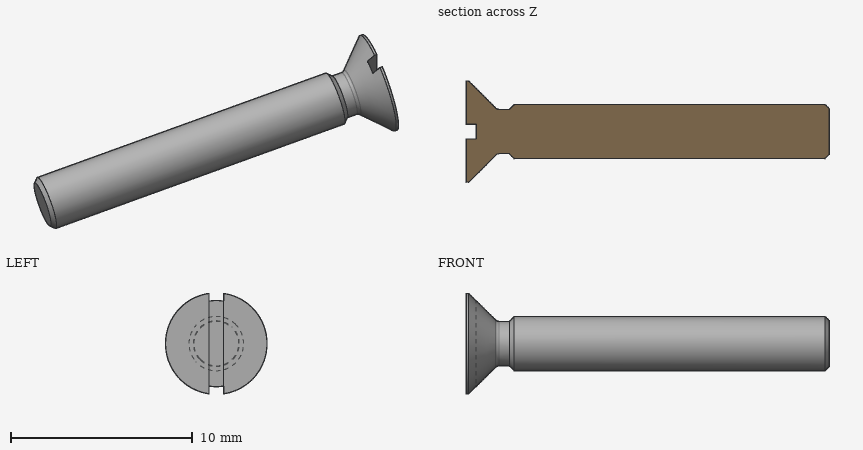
import cadquery as cq
import math

total_length = 20.0
head_diameter = 5.6
rim_thickness = 0.15
neck_diameter = 2.45
thread_diameter = 3.0
thread_start = 2.38
tip_chamfer = 0.25
under_head_radius = 0.25
slot_width = 0.8
slot_depth = 0.55

head_radius = head_diameter / 2
neck_radius = neck_diameter / 2
thread_radius = thread_diameter / 2
run_in = thread_radius - neck_radius

cone_end = rim_thickness + head_radius - neck_radius

flank_angle = math.radians(45)
tangent_length = under_head_radius * math.tan(flank_angle / 2)
fillet_start = (
    cone_end - tangent_length * math.cos(flank_angle),
    neck_radius + tangent_length * math.sin(flank_angle),
)
fillet_end = (cone_end + tangent_length, neck_radius)
fillet_middle = (
    fillet_end[0] - under_head_radius * math.sin(flank_angle / 2),
    neck_radius + under_head_radius * (1 - math.cos(flank_angle / 2)),
)


def revolved_body():
    """Head, neck and shank turned about the X axis."""
    outline = (
        cq.Workplane("XY")
        .moveTo(0, 0)
        .lineTo(0, head_radius)
        .lineTo(rim_thickness, head_radius)
        .lineTo(*fillet_start)
        .threePointArc(fillet_middle, fillet_end)
        .lineTo(thread_start, neck_radius)
        .lineTo(thread_start + run_in, thread_radius)
        .lineTo(total_length - tip_chamfer, thread_radius)
        .lineTo(total_length, thread_radius - tip_chamfer)
        .lineTo(total_length, 0)
        .close()
    )
    return outline.revolve(360, (0, 0, 0), (1, 0, 0))


def driver_slot():
    """Straight slot across the head face, running along Z."""
    return cq.Workplane("XY").box(
        slot_depth, slot_width, head_diameter, centered=(False, True, True)
    )


result = revolved_body().cut(driver_slot())